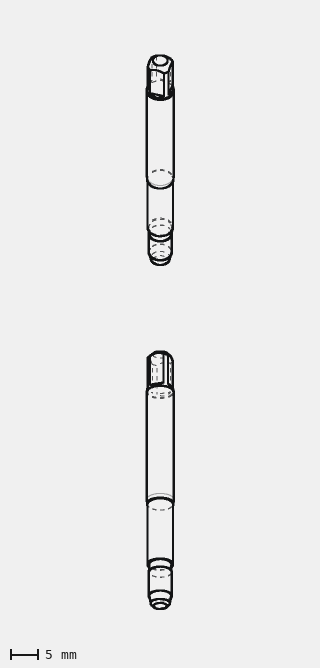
import cadquery as cq

total_length = 52.2
tip_chamfer_top = 0.6
pilot_bottom = 2.15
neck_bottom = 7.1
neck_top = 8.65
mouth_height = 21.15
taper_top = 22.1
shoulder_height = 44.4
flat_bottom = 45.2

tip_end_diameter = 2.5
tip_shoulder_diameter = 3.55
tip_root_diameter = 4.05
pilot_diameter = 4.3
neck_diameter = 4.1
plunger_diameter = 4.7
mouth_diameter = 4.9
drive_diameter = 4.8
barrel_diameter = 5.0

square_width = 4.0
drive_chamfer = 1.05

shoulder_chamfer = (barrel_diameter - drive_diameter) / 2

mouth_chamfer = (mouth_diameter - plunger_diameter) / 2


def revolve_profile(half_profile):
    """Revolve (diameter, height) points about Z, closing along the axis."""
    points = [(diameter / 2, height) for diameter, height in half_profile]
    outline = [(0, points[0][1])] + points + [(0, points[-1][1])]
    return cq.Workplane("XZ").polyline(outline).close().revolve(360, (0, 0), (0, 1))


def make_flat_cutter():
    """Material removed on the +X side: a flat that runs out at 45 degrees."""
    flat_offset = square_width / 2
    outer_offset = barrel_diameter
    runout = outer_offset - flat_offset
    outline = [
        (flat_offset, flat_bottom),
        (outer_offset, flat_bottom - runout),
        (outer_offset, total_length),
        (flat_offset, total_length),
    ]
    return cq.Workplane("XZ").polyline(outline).close().extrude(barrel_diameter, both=True)


def make_barrel():
    """Barrel with a tapered mouth below and a square drive on top."""
    barrel = revolve_profile([
        (plunger_diameter, mouth_height),
        (mouth_diameter, mouth_height + mouth_chamfer),
        (barrel_diameter, taper_top),
        (barrel_diameter, shoulder_height),
        (drive_diameter, shoulder_height + shoulder_chamfer),
        (drive_diameter, total_length - drive_chamfer),
        (drive_diameter - 2 * drive_chamfer, total_length),
    ])
    flat_cutter = make_flat_cutter()
    for angle in (0, 90, 180, 270):
        barrel = barrel.cut(flat_cutter.rotate((0, 0, 0), (0, 0, 1), angle))
    return barrel


def make_plunger():
    """Stepped plunger with a tapered tip, ending at the mouth of the barrel."""
    return revolve_profile([
        (tip_end_diameter, 0),
        (tip_shoulder_diameter, tip_chamfer_top),
        (tip_root_diameter, pilot_bottom),
        (pilot_diameter, pilot_bottom),
        (pilot_diameter, neck_bottom),
        (neck_diameter, neck_bottom),
        (neck_diameter, neck_top),
        (plunger_diameter, neck_top),
        (plunger_diameter, mouth_height),
    ])


barrel = make_barrel()
plunger = make_plunger()
result = cq.Compound.makeCompound([barrel.val(), plunger.val()])